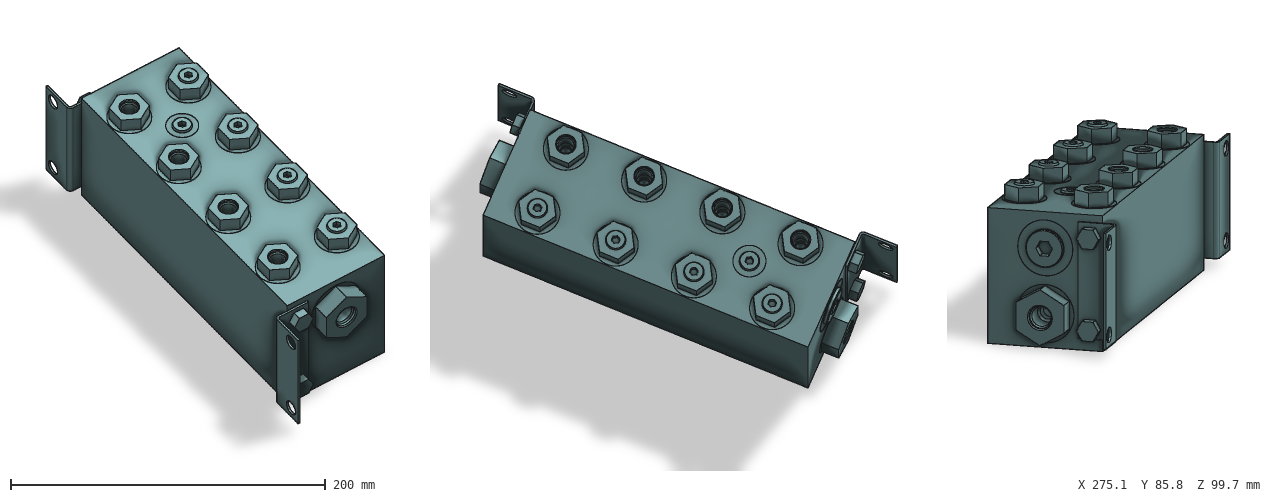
import cadquery as cq
import math

block_length = 224.28
block_width = 76.2
block_height = 88.9
spotface_depth = 0.25
plug_bevel_width = 0.6

outlet_pitch = 53.98
outlet_count = 4
row_offset = 23.1
outlet_hex_flats = 22.225
outlet_hex_height = 9.525
outlet_spotface_diameter = 28.6
outlet_mouth_diameter = 13.0
outlet_entry_diameter = 11.8
outlet_entry_depth = 2.0
outlet_bore_diameter = 10.2
outlet_bore_depth = 14.0
outlet_drill_diameter = 7.4
outlet_drill_depth = 20.0
small_plug_diameter = 13.0
overall_height = 99.74
small_plug_rise = overall_height - block_height - outlet_hex_height
small_plug_socket_flats = 4.76
small_plug_socket_depth = 4.0
gauge_plug_x = -55.5
gauge_plug_spotface_diameter = 21.0

lower_port_z = 22.2
upper_port_z = block_height - 23.7
inlet_hex_flats = 31.75
inlet_hex_height = 11.7
inlet_spotface_diameter = 38.1
inlet_mouth_diameter = 16.4
inlet_entry_diameter = 14.8
inlet_entry_depth = 2.6
inlet_bore_diameter = 12.8
inlet_bore_depth = 16.0
inlet_drill_diameter = 9.9
inlet_drill_depth = 24.0
end_plug_diameter = 24.8
end_plug_rise = 2.4
end_plug_spotface_diameter = 36.5
end_plug_socket_flats = 9.525
end_plug_socket_depth = 6.0

bracket_leg = 25.4
bracket_height = 76.2
bracket_thickness = 1.52
bracket_bend_radius = 3.1
overall_width = 85.85
bracket_front_y = block_width / 2 - overall_width
bracket_bottom_z = 7.94
mount_hole_diameter = 9.9
mount_hole_spacing = 60.32
mount_hole_edge = 7.7

bolt_flats = 12.7
bolt_head_height = 5.9
bolt_spacing = 60.32
bolt_y = -block_width / 2 + 7.94

drill_tip_half_angle = math.radians(59)
block_end_x = block_length / 2
left_end, right_end = -1, 1


def top_frame(x, y):
    """Plane on the top face with its normal pointing up."""
    return cq.Plane(origin=(x, y, block_height), xDir=(1, 0, 0), normal=(0, 0, 1))


def end_frame(side, z):
    """Plane on an end face with its normal pointing out and its x direction along Y."""
    return cq.Plane(origin=(side * block_end_x, 0, z), xDir=(0, 1, 0), normal=(side, 0, 0))


def hex_prism(frame, flats, base, top, turn=0):
    """Hexagonal prism between two heights above a plane, its corners on the x direction at no turn."""
    corner_diameter = flats / math.cos(math.pi / 6)
    start = cq.Workplane(frame).workplane(offset=base).transformed(rotate=(0, 0, turn))
    return start.polygon(6, corner_diameter).extrude(top - base)


def revolve_about_normal(frame, outline):
    """Turn an outline of (radius, height) points about the normal of a plane."""
    axis_plane = cq.Plane(origin=frame.origin, xDir=frame.xDir, normal=-frame.yDir)
    return cq.Workplane(axis_plane).polyline(outline).close().revolve(360, (0, 0), (0, 1))


def cut_spotface(body, frame, diameter):
    """Sink a shallow round recess into a face."""
    return body.cut(cq.Workplane(frame).circle(diameter / 2).extrude(-spotface_depth))


def add_adapter(body, frame, flats, height, spotface_diameter, turn=0):
    """Hexagonal adapter standing in a spotface."""
    adapter = hex_prism(frame, flats, -spotface_depth, height, turn)
    return cut_spotface(body, frame, spotface_diameter).union(adapter)


def cut_port(body, frame, top, mouth, entry, entry_depth, bore, bore_depth, drill, drill_depth):
    """Chamfered entry that narrows through cones to a bore and a drilled hole with a pointed tip."""
    mouth_chamfer = (mouth - entry) / 2
    entry_cone = (entry - bore) / 2
    bore_cone = (bore - drill) / 2
    tip_length = drill / 2 / math.tan(drill_tip_half_angle)
    return body.cut(revolve_about_normal(frame, [
        (0, top),
        (mouth / 2, top),
        (entry / 2, top - mouth_chamfer),
        (entry / 2, top - entry_depth),
        (bore / 2, top - entry_depth - entry_cone),
        (bore / 2, top - bore_depth),
        (drill / 2, top - bore_depth - bore_cone),
        (drill / 2, top - drill_depth),
        (0, top - drill_depth - tip_length),
    ]))


def add_plug(body, frame, base, rise, diameter, bevel_height, socket_flats, socket_depth, socket_turn):
    """Round plug with a bevelled head and a hexagon socket, standing above a base height."""
    radius = diameter / 2
    top = base + rise
    plug = revolve_about_normal(frame, [
        (0, base - spotface_depth),
        (radius, base - spotface_depth),
        (radius, top - bevel_height),
        (radius - plug_bevel_width, top),
        (0, top),
    ])
    socket = hex_prism(frame, socket_flats, top - socket_depth, top, socket_turn)
    return body.union(plug).cut(socket)


def add_small_plug(body, frame, base):
    """Plug of the size shared by the rear adapters and the gauge port."""
    return add_plug(
        body, frame, base, small_plug_rise, small_plug_diameter, small_plug_rise,
        small_plug_socket_flats, small_plug_socket_depth, socket_turn=90,
    )


def add_outlets(body):
    """Front row of open outlet adapters and rear row of plugged ones."""
    for index in range(outlet_count):
        x = (index - (outlet_count - 1) / 2) * outlet_pitch
        front = top_frame(x, -row_offset)
        rear = top_frame(x, row_offset)
        for frame in (front, rear):
            body = add_adapter(body, frame, outlet_hex_flats, outlet_hex_height, outlet_spotface_diameter)
        body = cut_port(
            body, front, outlet_hex_height, outlet_mouth_diameter, outlet_entry_diameter, outlet_entry_depth,
            outlet_bore_diameter, outlet_bore_depth, outlet_drill_diameter, outlet_drill_depth,
        )
        body = add_small_plug(body, rear, outlet_hex_height)
    return body


def add_gauge_plug(body):
    """Plugged gauge port between the two outlet rows."""
    frame = top_frame(gauge_plug_x, 0)
    body = cut_spotface(body, frame, gauge_plug_spotface_diameter)
    return add_small_plug(body, frame, 0)


def add_end_ports(body):
    """Open inlet adapters low on the left end and high on the right end, and a plug high on the left."""
    for side, z in ((left_end, lower_port_z), (right_end, upper_port_z)):
        frame = end_frame(side, z)
        body = add_adapter(
            body, frame, inlet_hex_flats, inlet_hex_height, inlet_spotface_diameter, turn=90
        )
        body = cut_port(
            body, frame, inlet_hex_height, inlet_mouth_diameter, inlet_entry_diameter, inlet_entry_depth,
            inlet_bore_diameter, inlet_bore_depth, inlet_drill_diameter, inlet_drill_depth,
        )
    frame = end_frame(left_end, upper_port_z)
    body = cut_spotface(body, frame, end_plug_spotface_diameter)
    return add_plug(
        body, frame, 0, end_plug_rise, end_plug_diameter, plug_bevel_width,
        end_plug_socket_flats, end_plug_socket_depth, socket_turn=0,
    )


def make_manifold():
    """Block with its adapters and plugs."""
    body = cq.Workplane("XY").box(block_length, block_width, block_height, centered=(True, True, False))
    body = add_outlets(body)
    body = add_gauge_plug(body)
    return add_end_ports(body)


def make_bracket(side):
    """Sheet angle with one leg on a block end and the other pointing outward, drilled for mounting."""
    inner_x = side * block_end_x
    outer_x = inner_x + side * bracket_leg
    rear_y = bracket_front_y + bracket_leg
    inside_bend = bracket_bend_radius - bracket_thickness
    flange_rear_y = bracket_front_y + bracket_thickness
    leg_outer_x = inner_x + side * bracket_thickness
    middle_z = bracket_bottom_z + bracket_height / 2
    profile = [
        (inner_x, rear_y),
        (inner_x, bracket_front_y),
        (outer_x, bracket_front_y),
        (outer_x, flange_rear_y),
        (leg_outer_x, flange_rear_y),
        (leg_outer_x, rear_y),
    ]
    angle = (
        cq.Workplane("XY", origin=(0, 0, bracket_bottom_z)).polyline(profile).close().extrude(bracket_height)
    )
    outer_corner = cq.NearestToPointSelector((inner_x, bracket_front_y, middle_z))
    inner_corner = cq.NearestToPointSelector((leg_outer_x, flange_rear_y, middle_z))
    angle = angle.edges("|Z").edges(outer_corner).fillet(bracket_bend_radius)
    angle = angle.edges("|Z").edges(inner_corner).fillet(inside_bend)

    hole_x = outer_x - side * mount_hole_edge
    hole_frame = cq.Plane(origin=(hole_x, bracket_front_y, middle_z), xDir=(1, 0, 0), normal=(0, -1, 0))
    holes = (
        cq.Workplane(hole_frame)
        .rarray(1, mount_hole_spacing, 1, 2)
        .circle(mount_hole_diameter / 2)
        .extrude(-bracket_thickness)
    )
    return angle.cut(holes)


def make_bolt_heads(side):
    """Pair of hexagonal bolt heads seated on a bracket leg."""
    frame = cq.Plane(
        origin=(side * (block_end_x + bracket_thickness), bolt_y, block_height / 2),
        xDir=(0, 1, 0),
        normal=(side, 0, 0),
    )
    corner_diameter = bolt_flats / math.cos(math.pi / 6)
    return (
        cq.Workplane(frame)
        .rarray(1, bolt_spacing, 1, 2)
        .polygon(6, corner_diameter)
        .extrude(bolt_head_height)
    )


manifold = make_manifold()
bodies = manifold.solids().vals()
for end in (left_end, right_end):
    bracket = make_bracket(end)
    bolt_heads = make_bolt_heads(end)
    bodies.extend(bracket.solids().vals())
    bodies.extend(bolt_heads.solids().vals())
result = cq.Compound.makeCompound(bodies)